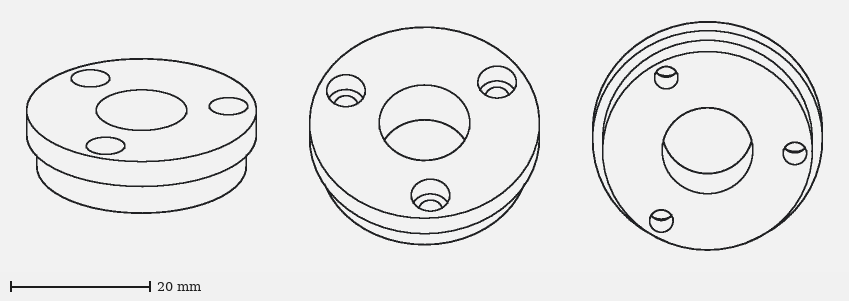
import cadquery as cq

flange_diameter = 33.0
flange_thickness = 4.0
spigot_diameter = 30.1
spigot_height = 5.0
total_height = spigot_height + flange_thickness

bore_diameter = 13.0

screw_count = 3
screw_circle_radius = 12.55
first_screw_angle = 180.0
screw_hole_diameter = 3.35
counterbore_diameter = 5.5
counterbore_depth = 3.8


def make_body():
    """Stepped disc standing on the XY plane."""
    spigot = cq.Workplane("XY").circle(spigot_diameter / 2).extrude(spigot_height)
    flange = (
        cq.Workplane("XY", origin=(0, 0, spigot_height))
        .circle(flange_diameter / 2)
        .extrude(flange_thickness)
    )
    return spigot.union(flange)


def cut_bore(body):
    """Cut the central bore through the full height."""
    return body.faces(">Z").workplane(origin=(0, 0, total_height)).hole(bore_diameter)


def cut_screw_holes(body):
    """Cut the ring of screw holes, counterbored from the top face."""
    return (
        body.faces(">Z")
        .workplane(origin=(0, 0, total_height))
        .polarArray(screw_circle_radius, first_screw_angle, 360, screw_count)
        .cboreHole(screw_hole_diameter, counterbore_diameter, counterbore_depth)
    )


result = cut_screw_holes(cut_bore(make_body()))